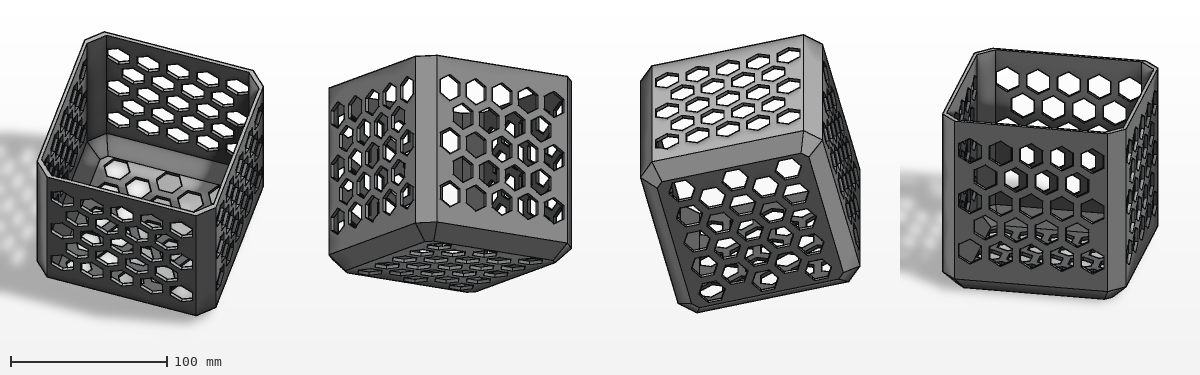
import cadquery as cq
import math

size = 120.0
bevel = size / 12
wall = 2.3

hole_width = 15.0
hole_pitch = 2 * bevel
row_pitch = 17.5
row_count = 5
long_row_holes = 5

hole_corner_diameter = hole_width / math.cos(math.radians(30))
wall_grid_height = (size + bevel) / 2


def beveled_block(width, bottom, top):
    """Square block centred on Z with its upright and bottom edges beveled."""
    return (
        cq.Workplane("XY", origin=(0, 0, bottom))
        .rect(width, width)
        .extrude(top - bottom)
        .edges("|Z")
        .chamfer(bevel)
        .faces("<Z")
        .chamfer(bevel)
    )


def hole_centres():
    """Hole centres as (across rows, along row); every second row is one hole shorter."""
    centres = []
    for row in range(row_count):
        holes = long_row_holes - row % 2
        across = (row - (row_count - 1) / 2) * row_pitch
        for hole in range(holes):
            along = (hole - (holes - 1) / 2) * hole_pitch
            centres.append((across, along))
    return centres


def hole_cutters(origin, across_rows, direction, depth):
    """Grid of hexagonal prisms, each with corners pointing across the rows."""
    plane = cq.Plane(origin=origin, xDir=across_rows, normal=direction)
    return (
        cq.Workplane(plane)
        .pushPoints(hole_centres())
        .polygon(6, hole_corner_diameter)
        .extrude(depth)
    )


outside = beveled_block(size, 0, size)
inside = beveled_block(size - 2 * wall, wall, size)
shell = outside.cut(inside)

front_back_holes = hole_cutters((0, -size / 2, wall_grid_height), (0, 0, 1), (0, 1, 0), size)
side_holes = hole_cutters((-size / 2, 0, wall_grid_height), (0, 0, 1), (1, 0, 0), size)

floor_holes = hole_cutters((0, 0, 0), (1, 0, 0), (0, 0, 1), wall)

result = shell.cut(front_back_holes).cut(side_holes).cut(floor_holes)